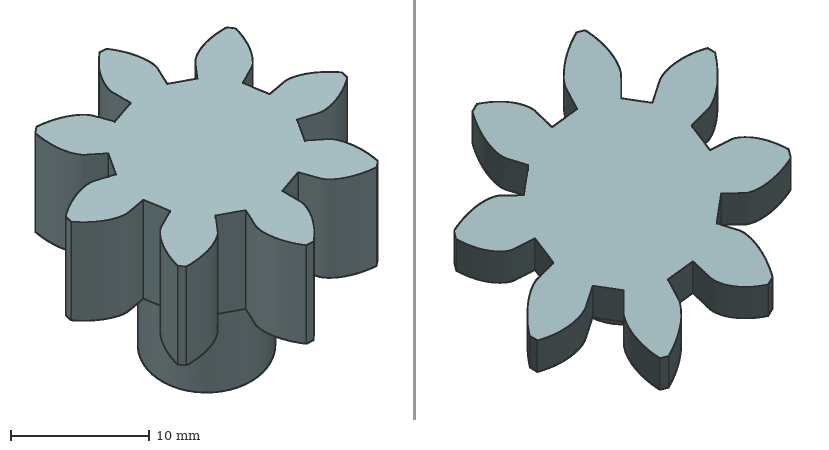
import cadquery as cq
import math

overall_height = 20.0
shaft_diameter = 10.0
pin_hole_diameter = 3.0
pin_hole_depth_below_gear = 4.92

tooth_count = 8
pitch_radius = 10.0
pressure_angle = math.radians(27.2)
root_radius = 7.15
tip_radius = 12.5
base_half_angle = math.radians(13.4)
flank_facets = 23

gear_height = overall_height / 2
shaft_length = overall_height - gear_height
base_radius = pitch_radius * math.cos(pressure_angle)
tip_roll_angle = math.sqrt((tip_radius / base_radius) ** 2 - 1)
tooth_pitch = 2 * math.pi / tooth_count
first_tooth_angle = base_half_angle


def polar(radius, angle):
    return (radius * math.cos(angle), radius * math.sin(angle))


def flank_point(tooth_angle, side, step):
    """Point on an involute flank, steps counted out from the base circle; side is -1 (clockwise) or +1."""
    roll = tip_roll_angle * step / flank_facets
    radius = base_radius * math.hypot(1, roll)
    lean = roll - math.atan(roll)
    return polar(radius, tooth_angle + side * (base_half_angle - lean))


def tooth_points(tooth_angle):
    """One tooth, counter-clockwise from root to root, with radial flanks below the base circle."""
    points = [polar(root_radius, tooth_angle - base_half_angle)]
    points += [flank_point(tooth_angle, -1, step) for step in range(flank_facets + 1)]
    points += [flank_point(tooth_angle, 1, step) for step in range(flank_facets, -1, -1)]
    points.append(polar(root_radius, tooth_angle + base_half_angle))
    return points


def make_gear():
    """Spur gear standing on Z = 0, with straight root lands between the teeth."""
    outline = []
    for tooth in range(tooth_count):
        outline += tooth_points(first_tooth_angle + tooth * tooth_pitch)
    return cq.Workplane("XY").polyline(outline).close().extrude(gear_height)


def make_shaft():
    """Round shaft hanging from the underside of the gear, cross-drilled along Y for a pin."""
    shaft = cq.Workplane("XY").circle(shaft_diameter / 2).extrude(-shaft_length)
    pin_hole = (
        cq.Workplane("XZ")
        .center(0, -pin_hole_depth_below_gear)
        .circle(pin_hole_diameter / 2)
        .extrude(shaft_diameter, both=True)
    )
    return shaft.cut(pin_hole)


gear = make_gear()
shaft = make_shaft()

result = cq.Compound.makeCompound([gear.val(), shaft.val()])